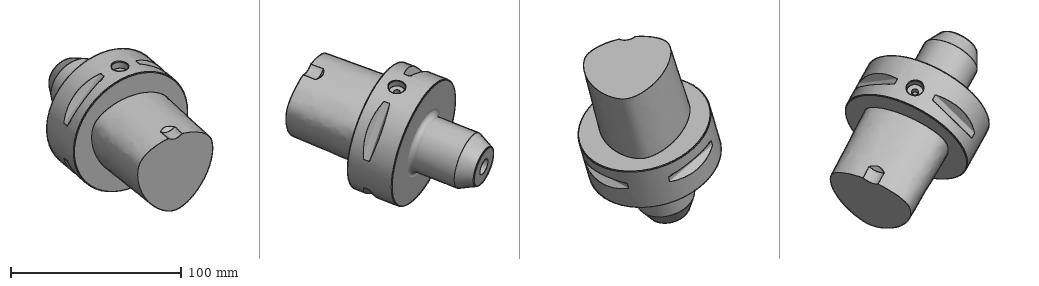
import cadquery as cq
import math

total_length = 118.0
flange_start = 40.0
flange_end = 70.0

nose_tip_radius = 12.6
nose_tip_chamfer = 0.5
nose_cone_length = 10.5
nose_diameter = 35.0
neck_diameter = 34.8
relief_start = 35.9
relief_end = 37.0
nose_bore_diameter = 10.0
nose_bore_depth = 23.6

flange_diameter = 80.0
flange_chamfer = 0.5
root_fillet_radius = 3.2
root_recess_radius = 21.6

shank_mean_radius = 27.5
shank_lobe_height = 2.0
shank_taper = 1 / 40
lobe_count = 3
shank_points = 72

groove_center_x = 58.0
groove_floor_width = 3.8
groove_floor_distance = 35.6
groove_corner_radius = 0.6
groove_wall_angle = 30.0
groove_angles = (45, 135, 225, 315)

rim_hole_diameter = 10.0
rim_hole_depth = 5.0
rim_hole_chamfer = 0.4
pilot_diameter = 4.0
pilot_depth = 3.5
drill_tip_angle = 118.0

notch_radius = 7.2
notch_start = 109.6
notch_tip_length = 6.7
notch_axis_height = 29.4


def make_turned_body():
    """Revolve the nose, root fillet and flange about the X axis."""
    nose_radius = nose_diameter / 2
    neck_radius = neck_diameter / 2
    flange_radius = flange_diameter / 2
    fillet_center_r = neck_radius + root_fillet_radius
    fillet_offset = root_fillet_radius * math.sqrt(0.5)
    return (
        cq.Workplane("XY")
        .moveTo(0, 0)
        .lineTo(0, nose_tip_radius - nose_tip_chamfer)
        .lineTo(nose_tip_chamfer, nose_tip_radius)
        .lineTo(nose_cone_length, nose_radius)
        .lineTo(relief_start, nose_radius)
        .lineTo(relief_end, neck_radius)
        .threePointArc(
            (relief_end + fillet_offset, fillet_center_r - fillet_offset),
            (relief_end + root_fillet_radius, fillet_center_r),
        )
        .lineTo(flange_start, root_recess_radius)
        .lineTo(flange_start, flange_radius - flange_chamfer)
        .lineTo(flange_start + flange_chamfer, flange_radius)
        .lineTo(flange_end - flange_chamfer, flange_radius)
        .lineTo(flange_end, flange_radius - flange_chamfer)
        .lineTo(flange_end, 0)
        .close()
        .revolve(360, (0, 0, 0), (1, 0, 0))
    )


def lobed_outline(mean_radius):
    """Points (y, z) of a three-lobed curve with one lobe pointing along -Z."""
    points = []
    for i in range(shank_points):
        angle = 2 * math.pi * i / shank_points
        reach = mean_radius + shank_lobe_height * math.cos(lobe_count * angle)
        slope = -lobe_count * shank_lobe_height * math.sin(lobe_count * angle)
        down = reach * math.cos(angle) - slope * math.sin(angle)
        side = reach * math.sin(angle) + slope * math.cos(angle)
        points.append((side, -down))
    return points


def make_shank():
    """Loft the tapered shank from the flange to the free end."""
    shank_length = total_length - flange_end
    end_mean_radius = shank_mean_radius - shank_length * shank_taper
    return (
        cq.Workplane("YZ", origin=(flange_end, 0, 0))
        .spline(lobed_outline(shank_mean_radius), periodic=True)
        .close()
        .workplane(offset=shank_length)
        .spline(lobed_outline(end_mean_radius), periodic=True)
        .close()
        .loft(combine=True)
    )


def make_groove(angle):
    """Flared straight groove with rounded floor corners, turned about the X axis."""
    rim_radius = flange_diameter / 2
    depth = rim_radius - groove_floor_distance
    floor_half = groove_floor_width / 2
    top_half = floor_half + depth * math.tan(math.radians(groove_wall_angle))
    return (
        cq.Workplane("XZ", origin=(groove_center_x, 0, 0))
        .moveTo(-floor_half, groove_floor_distance)
        .lineTo(floor_half, groove_floor_distance)
        .lineTo(top_half, rim_radius)
        .lineTo(-top_half, rim_radius)
        .close()
        .extrude(rim_radius, both=True)
        .faces("<Z")
        .edges("|Y")
        .fillet(groove_corner_radius)
        .rotate((0, 0, 0), (1, 0, 0), angle)
    )


def make_rim_hole():
    """Chamfered flat-bottomed hole with a pointed pilot hole below it."""
    rim_radius = flange_diameter / 2
    hole_radius = rim_hole_diameter / 2
    pilot_radius = pilot_diameter / 2
    floor_z = rim_radius - rim_hole_depth
    pilot_z = floor_z - pilot_depth
    tip_length = pilot_radius / math.tan(math.radians(drill_tip_angle / 2))
    return (
        cq.Workplane("XZ")
        .moveTo(0, rim_radius)
        .lineTo(hole_radius + rim_hole_chamfer, rim_radius)
        .lineTo(hole_radius, rim_radius - 2 * rim_hole_chamfer)
        .lineTo(hole_radius, floor_z)
        .lineTo(pilot_radius, floor_z)
        .lineTo(pilot_radius, pilot_z)
        .lineTo(0, pilot_z - tip_length)
        .close()
        .revolve(360, (0, 0, 0), (0, 1, 0))
        .translate((groove_center_x, 0, 0))
    )


def make_notch():
    """Shallow round-bottomed channel with a conical inner end."""
    return (
        cq.Workplane("XZ")
        .moveTo(notch_start - notch_tip_length, 0)
        .lineTo(notch_start, notch_radius)
        .lineTo(total_length, notch_radius)
        .lineTo(total_length, 0)
        .close()
        .revolve(360, (0, 0, 0), (1, 0, 0))
        .translate((0, 0, notch_axis_height))
    )


nose_bore = cq.Workplane("YZ").circle(nose_bore_diameter / 2).extrude(nose_bore_depth)

result = make_turned_body().union(make_shank()).cut(nose_bore)
for groove_angle in groove_angles:
    result = result.cut(make_groove(groove_angle))
result = result.cut(make_rim_hole()).cut(make_notch())